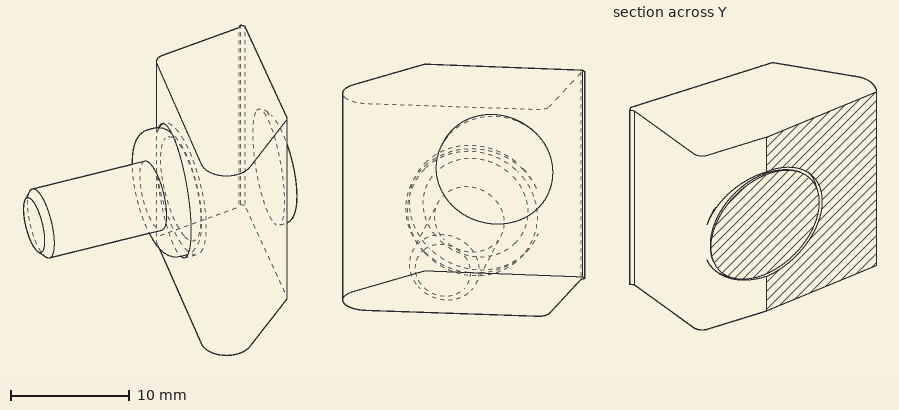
import cadquery as cq


block_height = 19.0
beak_top = (-7.34, 11.3)
beak_tip = (-7.6, 11.0)
beak_root = (-7.32, 10.75)
front_left_corner = (-6.08, 2.59)
front_right_corner = (14.9, -0.02)
back_right_corner = (5.9, 9.8)
front_left_radius = 1.0
back_right_radius = 0.5
nose_radius = 2.19

pin_diameter = 6.0
pin_length = 10.8
pin_chamfer = 0.62

collar_diameter = 11.0
collar_thickness = 2.5
collar_rounding = 1.0
recess_diameter = 11.4

head_diameter = 9.9
head_back = 11.2
head_rounding = 0.5


def cylinder_along_y(diameter, start, end):
    """Solid cylinder on the pin axis between two Y positions."""
    front_plane = cq.Workplane("XZ", origin=(0, start, 0))
    return front_plane.circle(diameter / 2).extrude(start - end)


def make_block():
    """Skewed block with a small beak at the back left and a broad rounded nose at the right."""
    outline = [
        beak_top,
        beak_tip,
        beak_root,
        front_left_corner,
        front_right_corner,
        back_right_corner,
    ]
    block = cq.Workplane("XY").polyline(outline).close().extrude(block_height / 2, both=True)
    rounded_corners = [
        (front_left_corner, front_left_radius),
        (back_right_corner, back_right_radius),
        (front_right_corner, nose_radius),
    ]
    for (x, y), radius in rounded_corners:
        corner_edge = cq.selectors.NearestToPointSelector((x, y, 0))
        block = block.edges("|Z").edges(corner_edge).fillet(radius)
    return block


def make_recess():
    """Flat-floored round cut that takes the collar; its floor is level with the back of the collar."""
    return cylinder_along_y(recess_diameter, 0, collar_thickness)


def make_pin():
    """Plain pin with a chamfered free end."""
    pin = cylinder_along_y(pin_diameter, -pin_length, collar_thickness)
    return pin.faces("<Y").chamfer(pin_chamfer)


def make_collar():
    """Disc with both rims rounded."""
    collar = cylinder_along_y(collar_diameter, 0, collar_thickness)
    return collar.edges("%CIRCLE").fillet(collar_rounding)


def make_head():
    """Disc standing out of the sloping back face, with its back rim rounded."""
    head = cylinder_along_y(head_diameter, collar_thickness, head_back)
    return head.faces(">Y").edges().fillet(head_rounding)


result = make_block().cut(make_recess()).union(make_head()).union(make_collar()).union(make_pin())